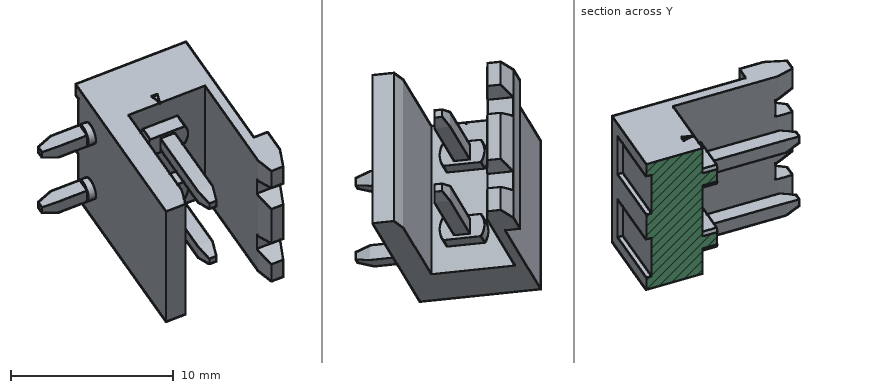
import cadquery as cq


POLE_COUNT = 2
POLE_PITCH = 5.0
HEIGHT = POLE_COUNT * POLE_PITCH
POLE_LEVELS = [POLE_PITCH * (i + 0.5) for i in range(POLE_COUNT)]

LENGTH = 12.0
DEPTH = 7.65
BACK_THICKNESS = 3.8
LOWER_WALL = 1.68
UPPER_WALL = 0.68
CAVITY_TOP = DEPTH - UPPER_WALL
LEAD_IN_LENGTH = 1.15
LEAD_IN_RISE = 0.32

HOOK_START = 9.0
HOOK_TOP = 8.6
HOOK_RAMP_LENGTH = 1.35
HOOK_RAMP_DROP = 0.48

NOTCH_DEPTH = 1.3
NOTCH_INNER_WIDTH = 1.25
NOTCH_OUTER_WIDTH = 1.9

RECESS_DEPTH = 0.35
RECESS_WIDTH = 3.0
RECESS_TOP = 6.82

PIN_WIDTH = 1.0
TIP_WIDTH = 0.5
TIP_LENGTH = 1.0

CONTACT_Y = 3.87
CONTACT_END = 10.8
CONTACT_COLLAR_RADIUS = 1.415
CONTACT_COLLAR_HEIGHT = 1.5
COLLAR_LENGTH = 1.0

SOLDER_X = 2.0
SOLDER_LENGTH = 3.5
SOLDER_COLLAR_RADIUS = 0.71
SOLDER_COLLAR_LENGTH = 0.5

ARROW_LENGTH = 0.75
ARROW_WIDTH = 0.4
ARROW_DEPTH = 0.1


def make_housing():
    outline = [
        (0, 0),
        (LENGTH, 0),
        (LENGTH, LOWER_WALL - LEAD_IN_RISE),
        (LENGTH - LEAD_IN_LENGTH, LOWER_WALL),
        (BACK_THICKNESS, LOWER_WALL),
        (BACK_THICKNESS, CAVITY_TOP),
        (LENGTH - LEAD_IN_LENGTH, CAVITY_TOP),
        (LENGTH, CAVITY_TOP + LEAD_IN_RISE),
        (LENGTH, HOOK_TOP - HOOK_RAMP_DROP),
        (LENGTH - HOOK_RAMP_LENGTH, HOOK_TOP),
        (HOOK_START, HOOK_TOP),
        (HOOK_START, DEPTH),
        (0, DEPTH),
    ]
    return cq.Workplane("XY").polyline(outline).close().extrude(HEIGHT)


def make_notch(level):
    outline = [
        (LENGTH - NOTCH_DEPTH, level - NOTCH_INNER_WIDTH / 2),
        (LENGTH, level - NOTCH_OUTER_WIDTH / 2),
        (LENGTH, level + NOTCH_OUTER_WIDTH / 2),
        (LENGTH - NOTCH_DEPTH, level + NOTCH_INNER_WIDTH / 2),
    ]
    plane = cq.Workplane("XZ", origin=(0, CAVITY_TOP, 0))
    return plane.polyline(outline).close().extrude(-(HOOK_TOP - CAVITY_TOP))


def make_recess(level):
    block = cq.Workplane("XY").box(RECESS_DEPTH, RECESS_TOP, RECESS_WIDTH, centered=(False, False, True))
    return block.translate((0, 0, level))


def make_arrow():
    outline = [
        (BACK_THICKNESS, CONTACT_Y),
        (BACK_THICKNESS - ARROW_LENGTH, CONTACT_Y + ARROW_WIDTH / 2),
        (BACK_THICKNESS - ARROW_LENGTH, CONTACT_Y - ARROW_WIDTH / 2),
    ]
    plane = cq.Workplane("XY").workplane(offset=HEIGHT)
    return plane.polyline(outline).close().extrude(-ARROW_DEPTH)


def make_pin(base_plane, length):
    """Square pin growing along the plane normal, ending in a tapered tip."""
    shaft_length = length - TIP_LENGTH
    shaft = cq.Workplane(base_plane).rect(PIN_WIDTH, PIN_WIDTH).extrude(shaft_length)
    tip = (
        shaft.faces(cq.selectors.DirectionMinMaxSelector(base_plane.zDir))
        .workplane()
        .rect(PIN_WIDTH, PIN_WIDTH)
        .workplane(offset=TIP_LENGTH)
        .rect(TIP_WIDTH, TIP_WIDTH)
        .loft(combine=False)
    )
    return shaft.union(tip)


def make_contact(level):
    base = cq.Plane.named("YZ", origin=(BACK_THICKNESS, CONTACT_Y, level))
    disc = cq.Workplane(base).circle(CONTACT_COLLAR_RADIUS).extrude(COLLAR_LENGTH)
    flats = cq.Workplane(base).rect(2 * CONTACT_COLLAR_RADIUS, CONTACT_COLLAR_HEIGHT).extrude(COLLAR_LENGTH)
    return make_pin(base, CONTACT_END - BACK_THICKNESS).union(disc.intersect(flats))


def make_solder_pin(level):
    base = cq.Plane.named("XZ", origin=(SOLDER_X, 0, level))
    collar = cq.Workplane(base).circle(SOLDER_COLLAR_RADIUS).extrude(SOLDER_COLLAR_LENGTH)
    return make_pin(base, SOLDER_LENGTH).union(collar)


result = make_housing().cut(make_arrow())
for pole_level in POLE_LEVELS:
    result = result.cut(make_notch(pole_level)).cut(make_recess(pole_level))
    result = result.union(make_contact(pole_level)).union(make_solder_pin(pole_level))